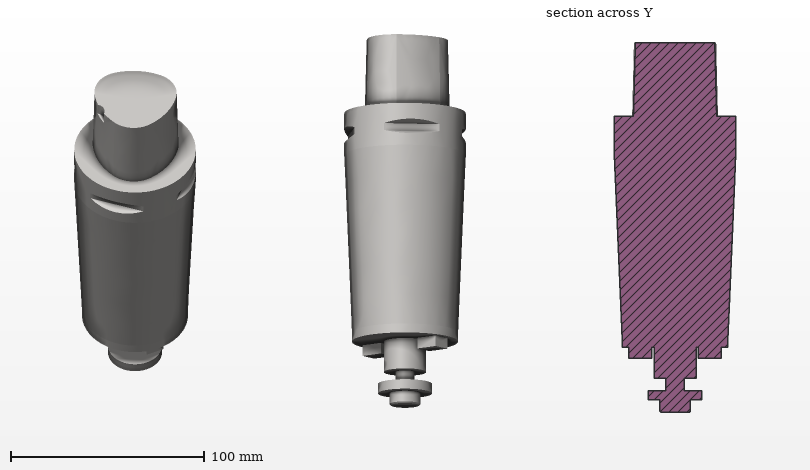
import math

import cadquery as cq


TAPER_LENGTH = 38.0
TAPER_SLOPE = 1 / 40
LOBE_RADIUS = 15.6
LOBE_OFFSET = 7.7
SIDE_REACH = 20.7
LOBE_COUNT = 3

NOTCH_WIDTH = 7.5
NOTCH_HEIGHT = 6.5
NOTCH_FLOOR = 18.0

FLANGE_DIAMETER = 63.0
FLANGE_BOTTOM = -22.0
POCKET_COUNT = 4
POCKET_CENTRE = -12.1
POCKET_FLOOR = 28.0
POCKET_FLOOR_HEIGHT = 3.6
POCKET_FLANK_ANGLE = 30.0

NOSE_DIAMETER = 55.0
CONE_BOTTOM = -115.3
NOSE_BOTTOM = -120.0

PILOT_DIAMETER = 22.0
PILOT_BOTTOM = -136.0
KEY_INNER = 12.0
KEY_OUTER = 24.0
KEY_WIDTH = 10.0
KEY_HEIGHT = 5.6

NECK_DIAMETER = 10.0
WASHER_DIAMETER = 28.0
WASHER_TOP = -142.2
WASHER_BOTTOM = -147.2
HEAD_DIAMETER = 16.0
HEAD_BOTTOM = -153.5
HEAD_CHAMFER = 0.7


def polar(radius, degrees):
    angle = math.radians(degrees)
    return (radius * math.cos(angle), radius * math.sin(angle))


def polygon_profile():
    """Closed three-lobed outline at the base of the taper, one lobe on +Y."""
    half_pitch = 180 / LOBE_COUNT
    along = LOBE_OFFSET * math.cos(math.radians(half_pitch))
    across = LOBE_OFFSET * math.sin(math.radians(half_pitch))
    gap = SIDE_REACH - LOBE_RADIUS
    side_offset = (along**2 + across**2 - gap**2) / (2 * (gap - along))
    side_radius = side_offset + SIDE_REACH
    swing = math.atan2(across, side_offset + along)
    joint_across = side_radius * math.sin(swing)
    joint_along = side_radius * math.cos(swing) - side_offset
    joint_radius = math.hypot(joint_across, joint_along)
    joint_angle = math.degrees(math.atan2(joint_across, joint_along))

    side_angle = -90.0
    outline = cq.Workplane("XY").moveTo(*polar(joint_radius, side_angle - joint_angle))
    for _ in range(LOBE_COUNT):
        lobe_angle = side_angle + half_pitch
        next_side = side_angle + 2 * half_pitch
        outline = outline.threePointArc(
            polar(SIDE_REACH, side_angle),
            polar(joint_radius, side_angle + joint_angle),
        ).threePointArc(
            polar(LOBE_OFFSET + LOBE_RADIUS, lobe_angle),
            polar(joint_radius, next_side - joint_angle),
        )
        side_angle = next_side
    return outline.close()


def polygon_taper():
    taper_angle = math.degrees(math.atan(TAPER_SLOPE))
    taper = polygon_profile().extrude(TAPER_LENGTH, taper=taper_angle)
    rim = SIDE_REACH - TAPER_LENGTH * TAPER_SLOPE
    depth = rim - NOTCH_FLOOR
    scoop_radius = ((NOTCH_WIDTH / 2) ** 2 + depth**2) / (2 * depth)
    notch = (
        cq.Workplane("XY", origin=(0, -NOTCH_FLOOR - scoop_radius, TAPER_LENGTH))
        .circle(scoop_radius)
        .extrude(-NOTCH_HEIGHT)
    )
    return taper.cut(notch)


def turned_body():
    """Flange, cone, nose, pilot and clamping screw as one revolved profile."""
    flange = FLANGE_DIAMETER / 2
    nose = NOSE_DIAMETER / 2
    pilot = PILOT_DIAMETER / 2
    neck = NECK_DIAMETER / 2
    washer = WASHER_DIAMETER / 2
    head = HEAD_DIAMETER / 2
    profile = [
        (0, 0),
        (flange, 0),
        (flange, FLANGE_BOTTOM),
        (nose, CONE_BOTTOM),
        (nose, NOSE_BOTTOM),
        (pilot, NOSE_BOTTOM),
        (pilot, PILOT_BOTTOM),
        (neck, PILOT_BOTTOM),
        (neck, WASHER_TOP),
        (washer, WASHER_TOP),
        (washer, WASHER_BOTTOM),
        (head, WASHER_BOTTOM),
        (head, HEAD_BOTTOM + HEAD_CHAMFER),
        (head - HEAD_CHAMFER, HEAD_BOTTOM),
        (0, HEAD_BOTTOM),
    ]
    return cq.Workplane("XZ").polyline(profile).close().revolve(360, (0, 0), (0, 1))


def flange_pockets():
    """Straight trapezoidal grooves whose flat floors are chords of the flange."""
    depth = FLANGE_DIAMETER / 2 - POCKET_FLOOR
    floor_half = POCKET_FLOOR_HEIGHT / 2
    mouth_half = floor_half + depth * math.tan(math.radians(POCKET_FLANK_ANGLE))
    section = [
        (POCKET_FLOOR, POCKET_CENTRE - floor_half),
        (POCKET_FLOOR + depth, POCKET_CENTRE - mouth_half),
        (POCKET_FLOOR + depth, POCKET_CENTRE + mouth_half),
        (POCKET_FLOOR, POCKET_CENTRE + floor_half),
    ]
    groove = cq.Workplane("XZ").polyline(section).close().extrude(FLANGE_DIAMETER / 2, both=True)
    pitch = 360 / POCKET_COUNT
    return [
        groove.rotate((0, 0, 0), (0, 0, 1), pitch * (index + 0.5))
        for index in range(POCKET_COUNT)
    ]


def drive_keys():
    """Two rectangular keys under the nose, on the X axis."""
    middle = (KEY_INNER + KEY_OUTER) / 2
    return (
        cq.Workplane("XY", origin=(0, 0, NOSE_BOTTOM))
        .pushPoints([(-middle, 0), (middle, 0)])
        .rect(KEY_OUTER - KEY_INNER, KEY_WIDTH)
        .extrude(-KEY_HEIGHT)
    )


body = turned_body()
for pocket in flange_pockets():
    body = body.cut(pocket)
result = body.union(drive_keys()).union(polygon_taper())